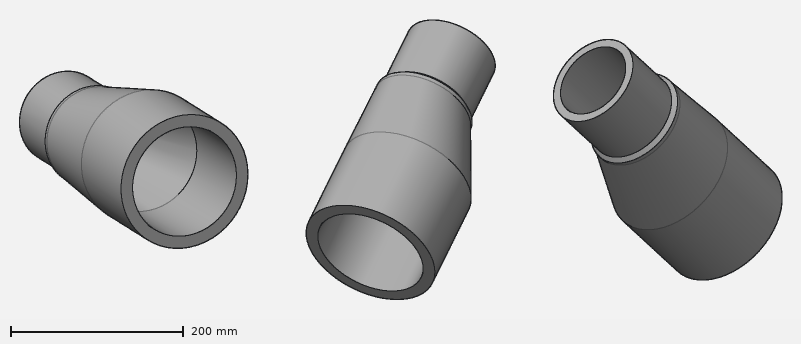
import cadquery as cq

small_outer_dia = 110.0
small_bore_dia = 90.0
collar_dia = 120.0
large_outer_dia = 160.0
large_bore_dia = 130.8

total_length = 309.0
large_pipe_length = 116.0
small_pipe_length = 82.0
collar_length = 5.0
collar_chamfer = (collar_dia - small_outer_dia) / 2

collar_start_x = small_pipe_length
cone_start_x = collar_start_x + collar_chamfer + collar_length
cone_end_x = total_length - large_pipe_length

small_axis_y = (collar_dia - large_outer_dia) / 2
large_axis_y = 0.0


def cylinder(diameter, axis_y, start_x, end_x):
    """Round bar along X between two stations."""
    return (
        cq.Workplane("YZ", origin=(start_x, axis_y, 0))
        .circle(diameter / 2)
        .extrude(end_x - start_x)
    )


def oblique_cone(start_dia, end_dia):
    """Taper from the small pipe's axis to the large pipe's axis."""
    return (
        cq.Workplane("YZ", origin=(cone_start_x, 0, 0))
        .center(small_axis_y, 0)
        .circle(start_dia / 2)
        .workplane(offset=cone_end_x - cone_start_x)
        .center(large_axis_y - small_axis_y, 0)
        .circle(end_dia / 2)
        .loft(ruled=True, combine=True)
    )


def make_outside():
    small_pipe = cylinder(small_outer_dia, small_axis_y, 0, collar_start_x)
    collar = cylinder(collar_dia, small_axis_y, collar_start_x, cone_start_x)
    collar = collar.faces("<X").chamfer(collar_chamfer)
    cone = oblique_cone(collar_dia, large_outer_dia)
    large_pipe = cylinder(large_outer_dia, large_axis_y, cone_end_x, total_length)
    return small_pipe.union(collar).union(cone).union(large_pipe)


def make_bore():
    small_bore = cylinder(small_bore_dia, small_axis_y, 0, cone_start_x)
    cone_bore = oblique_cone(small_bore_dia, large_bore_dia)
    large_bore = cylinder(large_bore_dia, large_axis_y, cone_end_x, total_length)
    return small_bore.union(cone_bore).union(large_bore)


result = make_outside().cut(make_bore())